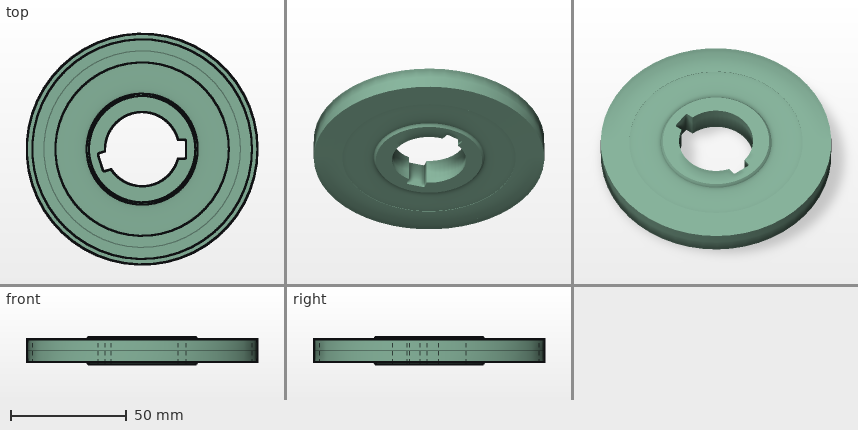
import cadquery as cq
import math

rim_diameter = 99.89
rim_thickness = 10.0
hub_thickness = 12.0

hub_diameter = 48.0
hub_chamfer_width = 1.0
bore_diameter = 32.0

web_thickness = 9.5
web_diameter = 75.0
relief_diameter = 85.0
relief_angle = 0.5

ring_inner_diameter = 95.0
flank_slope = 0.008
edge_taper_angle = 1.0

keyway_width = 8.1
keyway_reach = 18.9
keyway_corner_radius = 0.6
keyway_angles = (0.0, 198.0)

rim_radius = rim_diameter / 2
hub_radius = hub_diameter / 2
web_radius = web_diameter / 2
relief_radius = relief_diameter / 2
ring_inner_radius = ring_inner_diameter / 2
bore_radius = bore_diameter / 2
hub_half = hub_thickness / 2
rim_half = rim_thickness / 2
web_half = web_thickness / 2
rim_corner_radius = rim_radius - rim_half * math.tan(math.radians(edge_taper_angle))
ring_inner_half = rim_half - (rim_corner_radius - ring_inner_radius) * flank_slope
relief_outer_half = rim_half - (rim_corner_radius - relief_radius) * flank_slope
relief_inner_half = relief_outer_half - (relief_radius - web_radius) * math.tan(math.radians(relief_angle))


def revolve_symmetric(upper_points):
    """Revolve about Z an (r, z) outline given above Z = 0 and mirrored below it."""
    lower_points = [(r, -z) for r, z in reversed(upper_points) if z > 0]
    outline = cq.Workplane("XZ").polyline(upper_points + lower_points).close()
    return outline.revolve(360, (0, 0, 0), (0, 1, 0))


def make_keyway(angle):
    """Rounded slot running from the axis outward through the full hub height."""
    return (
        cq.Workplane("XY")
        .box(keyway_reach, keyway_width, hub_thickness, centered=(False, True, True))
        .edges("|Z and >X")
        .fillet(keyway_corner_radius)
        .rotate((0, 0, 0), (0, 0, 1), angle)
    )


def make_wheel_body():
    """Hub, recessed web and relieved shoulder, with a keyed bore."""
    body = revolve_symmetric([
        (bore_radius, hub_half),
        (hub_radius - hub_chamfer_width, hub_half),
        (hub_radius, web_half),
        (web_radius, web_half),
        (web_radius, relief_inner_half),
        (relief_radius, relief_outer_half),
        (ring_inner_radius, ring_inner_half),
    ])
    for angle in keyway_angles:
        body = body.cut(make_keyway(angle))
    return body


def make_outer_ring():
    """Thin ring, largest in diameter at mid height and tapering to both side faces."""
    return revolve_symmetric([
        (ring_inner_radius, ring_inner_half),
        (rim_corner_radius, rim_half),
        (rim_radius, 0),
    ])


wheel_body = make_wheel_body()
outer_ring = make_outer_ring()

result = cq.Compound.makeCompound([wheel_body.val(), outer_ring.val()])